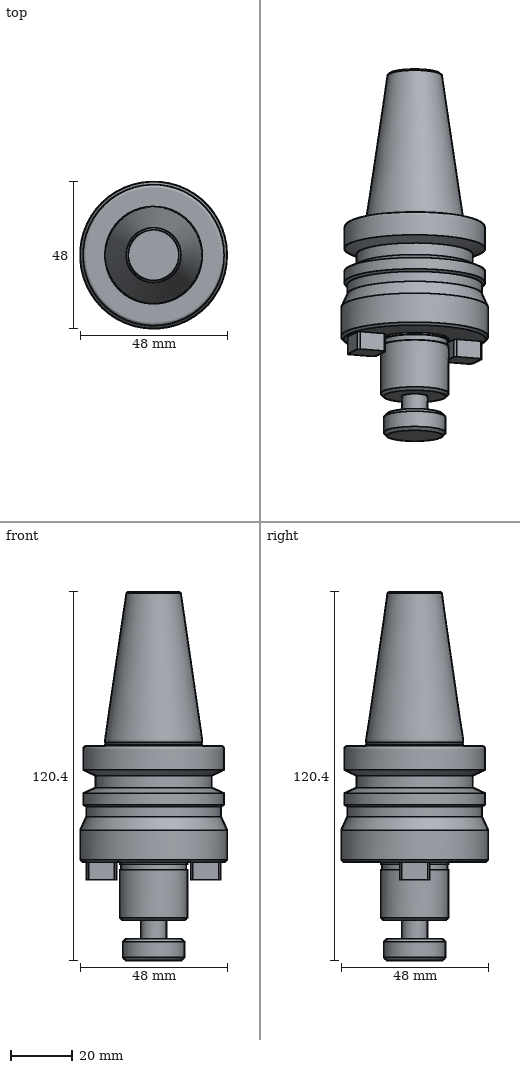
import cadquery as cq

total_height = 120.4
flange_bottom = 32.1
flange_top = 70.1
gauge_height = 72.1

gauge_radius = 15.9
taper_per_side = 7 / 48
shank_top_radius = gauge_radius - (total_height - gauge_height) * taper_per_side
shank_edge = 0.6
shank_relief_radius = 15.7
shank_relief_bottom = 70.5
shank_relief_top = 71.3

flange_radius = 23.0
flange_edge_radius = 1.1
groove_radius = 19.0
groove_upper_edge = 62.2
groove_top = 60.3
groove_bottom = 56.5
groove_lower_edge = 54.7
collar_edge_height = 50.9
collar_bottom = 50.2

waist_radius = 22.0
waist_bottom = 47.0
base_radius = 48.0 / 2
base_cone_bottom = 42.6
base_edge = 0.8

arbor_radius = 11.1
arbor_bottom = 13.1
arbor_edge = 1.0
arbor_relief_radius = 10.7
arbor_relief_bottom = 29.7
arbor_relief_top = 31.5

screw_radius = 4.2
head_radius = 10.1
head_height = 7.2
head_edge = 1.1

key_inner = 12.0
key_outer = 21.9
key_width = 9.9
key_height = 5.8
key_edge = 0.7
key_overlap = 1.2


def make_body():
    """Revolve the half outline (radius, height) about the Z axis."""
    lower_outline = [
        (0, 0),
        (head_radius - head_edge, 0),
        (head_radius, head_edge),
        (head_radius, head_height - head_edge),
        (head_radius - head_edge, head_height),
        (screw_radius, head_height),
        (screw_radius, arbor_bottom),
        (arbor_radius - arbor_edge, arbor_bottom),
        (arbor_radius, arbor_bottom + arbor_edge),
        (arbor_radius, arbor_relief_bottom),
        (arbor_relief_radius, arbor_relief_bottom),
        (arbor_relief_radius, arbor_relief_top),
        (arbor_radius, arbor_relief_top),
        (arbor_radius, flange_bottom),
        (base_radius - base_edge, flange_bottom),
        (base_radius, flange_bottom + base_edge),
        (base_radius, base_cone_bottom),
        (waist_radius, waist_bottom),
        (waist_radius, collar_bottom),
        (flange_radius, collar_edge_height),
        (flange_radius, groove_lower_edge),
        (groove_radius, groove_bottom),
        (groove_radius, groove_top),
        (flange_radius, groove_upper_edge),
        (flange_radius, flange_top - flange_edge_radius),
    ]
    flange_edge_end = (flange_radius - flange_edge_radius, flange_top)
    upper_outline = [
        (gauge_radius, flange_top),
        (gauge_radius, shank_relief_bottom),
        (shank_relief_radius, shank_relief_bottom),
        (shank_relief_radius, shank_relief_top),
        (gauge_radius, shank_relief_top),
        (gauge_radius, gauge_height),
        (shank_top_radius + shank_edge * taper_per_side, total_height - shank_edge),
        (shank_top_radius - shank_edge, total_height),
        (0, total_height),
    ]
    return (
        cq.Workplane("XZ")
        .polyline(lower_outline)
        .tangentArcPoint(flange_edge_end, relative=False)
        .polyline(upper_outline, includeCurrent=True)
        .close()
        .revolve(360, (0, 0, 0), (0, 1, 0))
    )


def make_key(side):
    """Drive key under the base, on the +X (side = 1) or -X (side = -1) side."""
    return (
        cq.Workplane("XY", origin=(side * (key_inner + key_outer) / 2, 0, flange_bottom - key_height))
        .rect(key_outer - key_inner, key_width)
        .extrude(key_height + key_overlap)
        .edges("|Z")
        .chamfer(key_edge)
    )


result = make_body()
for side in (-1, 1):
    result = result.union(make_key(side))